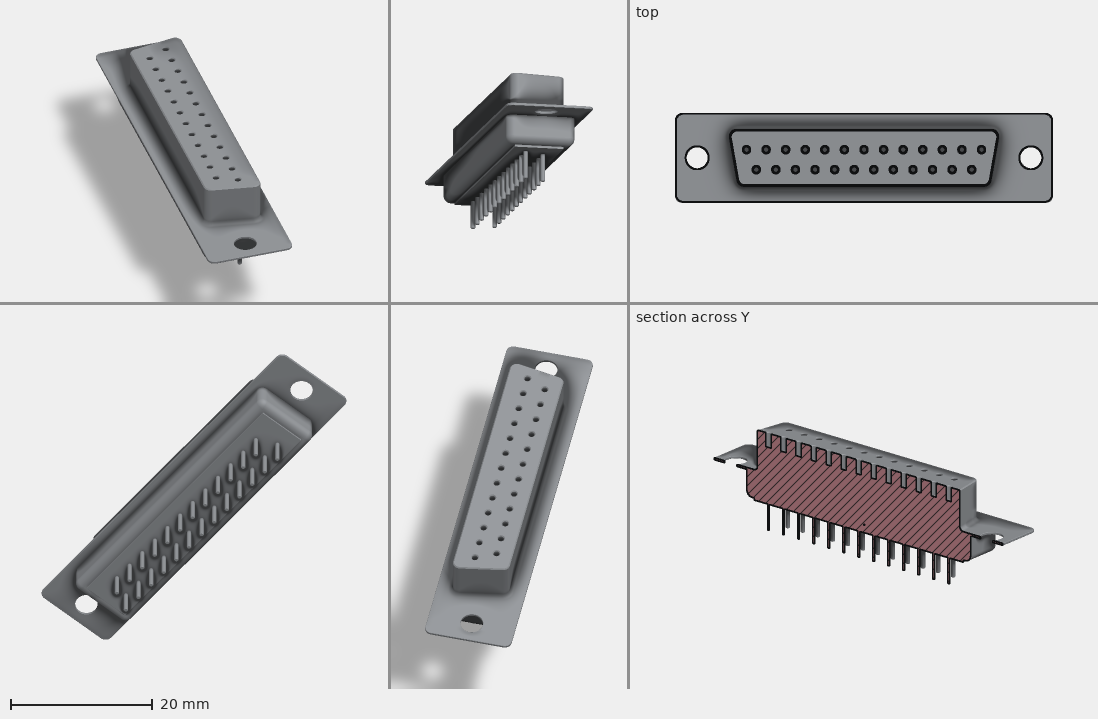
import cadquery as cq
import math


plate_length = 53.1
plate_width = 12.5
plate_thickness = 0.35
plate_corner_radius = 1.0
screw_hole_diameter = 3.2
screw_hole_x = 23.5
plate_edge_chamfer = 0.05

shell_height = 6.1
shell_width = 7.95
shell_middle_length = 36.85
shell_side_angle = 10.0
shell_corner_radius = 1.0
shell_top_chamfer = 0.15
shell_foot_fillet = 0.6

body_length = 41.2
body_width = 9.9
body_height = 4.0
body_round = 1.0
step_length = 38.45
step_width = 7.0
step_height = 0.3

contact_pitch = 2.75
row_spacing = 2.8
socket_row_shift = -0.25
long_row_count = 13
socket_diameter = 0.85
socket_depth = 2.1
socket_mouth_diameter = 1.1
socket_mouth_angle = 90.0
pin_diameter = 0.65
pin_length = 3.95
pin_tip_chamfer = 0.1

plate_top = plate_thickness
step_bottom = -body_height - step_height


def contact_positions(shift_y=0.0):
    """Centres of both contact rows, each symmetric about X = 0."""
    positions = []
    for count, y in [(long_row_count, row_spacing / 2), (long_row_count - 1, -row_spacing / 2)]:
        first_x = -(count - 1) * contact_pitch / 2
        positions += [(first_x + i * contact_pitch, y + shift_y) for i in range(count)]
    return positions


def make_plate():
    plate = cq.Workplane("XY").box(plate_length, plate_width, plate_thickness, centered=(True, True, False))
    plate = plate.edges("|Z").fillet(plate_corner_radius)
    screw_holes = [(-screw_hole_x, 0), (screw_hole_x, 0)]
    plate = plate.faces(">Z").workplane().pushPoints(screw_holes).hole(screw_hole_diameter)
    return plate.faces("|Z").edges().chamfer(plate_edge_chamfer)


def make_shell():
    half_width = shell_width / 2
    side_shift = half_width * math.tan(math.radians(shell_side_angle))
    long_half = shell_middle_length / 2 + side_shift
    short_half = shell_middle_length / 2 - side_shift
    corners = [
        (-long_half, half_width),
        (-short_half, -half_width),
        (short_half, -half_width),
        (long_half, half_width),
    ]
    shell = cq.Workplane("XY").workplane(offset=plate_top).polyline(corners).close().extrude(shell_height)
    shell = shell.edges("|Z").fillet(shell_corner_radius)
    return shell.faces(">Z").edges().chamfer(shell_top_chamfer)


def fillet_shell_foot(connector):
    """Blend the shell into the plate along the D-shaped seam."""
    margin = shell_corner_radius
    seam_zone = cq.selectors.BoxSelector(
        (-shell_middle_length / 2 - margin, -shell_width / 2 - margin, plate_top - plate_thickness / 2),
        (shell_middle_length / 2 + margin, shell_width / 2 + margin, plate_top + plate_thickness / 2),
    )
    return connector.edges(seam_zone).fillet(shell_foot_fillet)


def make_body():
    body = cq.Workplane("XY").rect(body_length, body_width).extrude(-body_height)
    body = body.edges("|Z").fillet(body_round)
    return body.faces("<Z").edges().fillet(body_round)


def make_step():
    body_underside = cq.Workplane("XY").workplane(offset=-body_height)
    return body_underside.rect(step_length, step_width).extrude(-step_height)


def make_pins():
    pins = cq.Workplane("XY").workplane(offset=step_bottom).pushPoints(contact_positions())
    pins = pins.circle(pin_diameter / 2).extrude(-pin_length)
    return pins.faces("<Z").edges().chamfer(pin_tip_chamfer)


def cut_sockets(connector):
    """Drill the blind contact sockets with countersunk mouths."""
    sockets = connector.faces(">Z").workplane(origin=(0, 0, 0)).pushPoints(contact_positions(socket_row_shift))
    return sockets.cskHole(socket_diameter, socket_mouth_diameter, socket_mouth_angle, socket_depth)


connector = fillet_shell_foot(make_plate().union(make_shell()))
connector = connector.union(make_body()).union(make_step()).union(make_pins())
result = cut_sockets(connector)